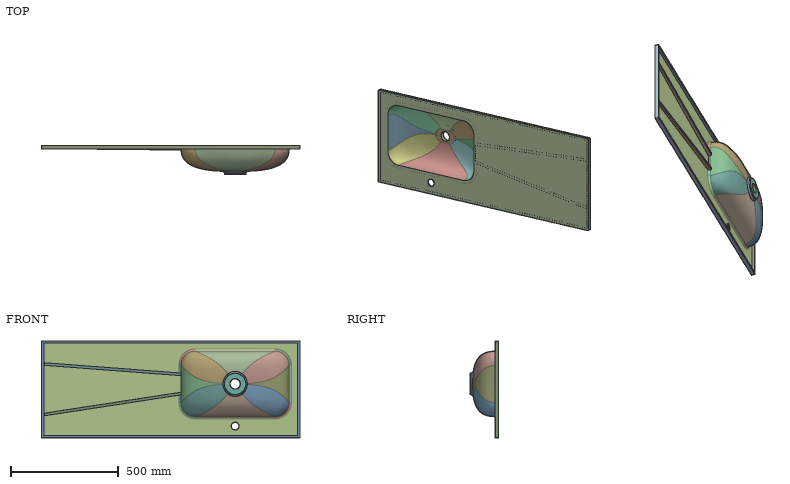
import cadquery as cq

LENGTH = 1200.0
HEIGHT = 451.0
TOTAL_DEPTH = 135.0
SHEET = 6.0
CORNER_RADIUS = 5.0

LIP_DEPTH = 17.0
LIP_WIDTH = 11.0

BOWL_X = 299.0
BOWL_Z = 25.0
BOWL_LENGTH = 503.0
BOWL_HEIGHT = 305.0
BOWL_CORNER = 66.0
BOWL_FLOOR_CORNER = 144.0
BOWL_FLOOR_Y = -121.0
BOWL_EXPONENT = 2.8
BOWL_LEVELS = (0, 0.25, 0.5, 0.7, 0.84, 0.93, 0.975, 0.995)
BOWL_JOINT_RADIUS = 10.0

COLLAR_DIAMETER = 100.0
COLLAR_BASE_DIAMETER = 122.0
COLLAR_FLARE = 13.0
COLLAR_THICKNESS = 19.0
DRAIN_DIAMETER = 47.0
TAP_HOLE_DIAMETER = 35.0
TAP_HOLE_Z = -170.0

RIB_START_X = -LENGTH / 2 + 15.0
RIB_OVERLAP = 1.0
RIB_END_X = BOWL_X - BOWL_LENGTH / 2 + RIB_OVERLAP
RIB_WIDTH = 12.0
RIB_START_DEPTH = 10.0
RIB_END_DEPTH = 15.0
RIB_START_Z = (-116.0, 118.0)
RIB_END_Z = (-19.0, 70.0)


def block(length, height, y_start, depth):
    """Plate centred on the Y axis, running from y_start toward -Y."""
    plate = cq.Workplane("XZ", origin=(0, y_start, 0))
    return plate.rect(length, height).extrude(depth)


def rod(x, z, diameter, y_start, depth):
    """Cylinder running from y_start toward -Y."""
    return cq.Workplane("XZ", origin=(x, y_start, z)).circle(diameter / 2).extrude(depth)


def bowl_section(y, length, height, radius):
    """Rounded-rectangle wire at the given Y."""
    outline = cq.Sketch().rect(length, height).vertices().fillet(radius).reset().faces()
    plane = cq.Plane.named("XZ", origin=(BOWL_X, y, BOWL_Z))
    return outline.val().outerWire().moved(cq.Location(plane))


def bowl(inset, y_start):
    """Solid bowl shape, drawn in from the outer skin by inset."""
    depth = y_start - BOWL_FLOOR_Y - inset
    sections = []
    for level in BOWL_LEVELS:
        shrink = (1 - level**BOWL_EXPONENT) ** (1 / BOWL_EXPONENT)
        corner = BOWL_CORNER + (BOWL_FLOOR_CORNER - BOWL_CORNER) * level**3
        sections.append(
            bowl_section(
                y_start - level * depth,
                (BOWL_LENGTH - 2 * inset) * shrink,
                (BOWL_HEIGHT - 2 * inset) * shrink,
                (corner - inset) * shrink,
            )
        )
    return cq.Workplane(cq.Solid.makeLoft(sections))


def rib_section(x, z, depth):
    """Rectangle across a rib, hanging from the underside of the sheet."""
    points = [
        cq.Vector(x, -SHEET, z - RIB_WIDTH / 2),
        cq.Vector(x, -SHEET - depth, z - RIB_WIDTH / 2),
        cq.Vector(x, -SHEET - depth, z + RIB_WIDTH / 2),
        cq.Vector(x, -SHEET, z + RIB_WIDTH / 2),
    ]
    return cq.Wire.makePolygon(points, close=True)


def rib(start_z, end_z):
    """Straight rib from the far edge of the sheet to the bowl wall."""
    start = rib_section(RIB_START_X, start_z, RIB_START_DEPTH)
    end = rib_section(RIB_END_X, end_z, RIB_END_DEPTH)
    return cq.Workplane(cq.Solid.makeLoft([start, end], True))


top = block(LENGTH, HEIGHT, 0, LIP_DEPTH).edges("|Y").fillet(CORNER_RADIUS)
recess = block(LENGTH - 2 * LIP_WIDTH, HEIGHT - 2 * LIP_WIDTH, -SHEET, LIP_DEPTH)
body = top.cut(recess)

body = body.union(bowl(0, -SHEET))
margin = 1.0
half_length = BOWL_LENGTH / 2 + margin
half_height = BOWL_HEIGHT / 2 + margin
joint = cq.selectors.BoxSelector(
    (BOWL_X - half_length, -SHEET - margin, BOWL_Z - half_height),
    (BOWL_X + half_length, -SHEET + margin, BOWL_Z + half_height),
)
body = body.edges(joint).fillet(BOWL_JOINT_RADIUS)

gap_low, gap_high = RIB_END_Z
gap = cq.Workplane("XY").box(
    2 * BOWL_JOINT_RADIUS, LIP_DEPTH, gap_high - gap_low, centered=(False, False, False)
)
gap_x = BOWL_X - BOWL_LENGTH / 2 - 2 * BOWL_JOINT_RADIUS
body = body.cut(gap.translate((gap_x, -SHEET - LIP_DEPTH, gap_low)))

for start_z, end_z in zip(RIB_START_Z, RIB_END_Z):
    body = body.union(rib(start_z, end_z))

collar_top = -TOTAL_DEPTH + COLLAR_THICKNESS
collar = rod(BOWL_X, BOWL_Z, COLLAR_DIAMETER, collar_top, COLLAR_THICKNESS)
flare = (
    cq.Workplane("XZ", origin=(BOWL_X, collar_top, BOWL_Z))
    .circle(COLLAR_BASE_DIAMETER / 2)
    .workplane(offset=COLLAR_FLARE )
    .circle(COLLAR_DIAMETER / 2)
    .loft()
)
body = body.union(collar).union(flare)

body = body.cut(bowl(SHEET, 0))
body = body.cut(rod(BOWL_X, BOWL_Z, DRAIN_DIAMETER, 0, TOTAL_DEPTH))
body = body.cut(rod(BOWL_X, TAP_HOLE_Z, TAP_HOLE_DIAMETER, 0, TOTAL_DEPTH))
result = body